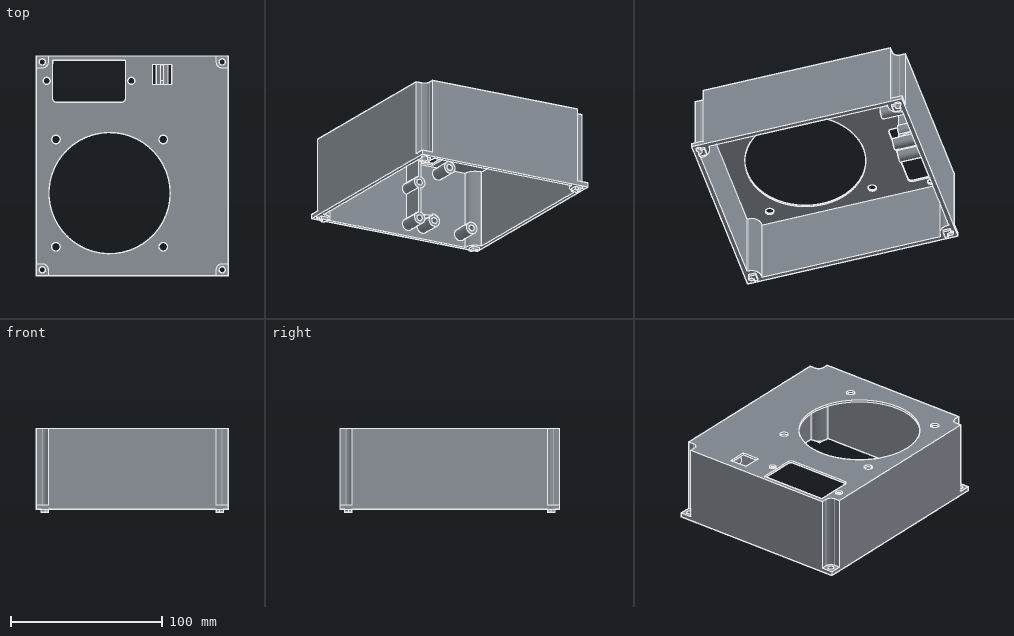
import cadquery as cq

LENGTH_X = 127.0
WIDTH_Y = 145.5
BODY_HEIGHT = 53.5
WALL = 3.0
TOP_THICKNESS = 1.5

RECESS_SIZE = 8.0
RECESS_RADIUS = RECESS_SIZE / 2
FLANGE_THICKNESS = 3.0
SCREW_INSET = RECESS_SIZE / 2
SCREW_HOLE_DIAMETER = 4.0
FOOT_HEIGHT = 2.0
FOOT_SIZE = RECESS_SIZE - WALL

FAN_X = 48.5
FAN_Y = 54.75
FAN_DIAMETER = 80.0
FAN_SCREW_SPACING = 71.0
FAN_SCREW_DIAMETER = 5.5

SOCKET_X = 34.9
SOCKET_WIDTH = 48.2
SOCKET_DEPTH = 27.5
SOCKET_CORNER_RADIUS = 2.5
SOCKET_SCREW_Y = 129.0
SOCKET_SCREW_SPACING = 56.0
SOCKET_SCREW_DIAMETER = 4.5

WINDOW_X = 83.25
WINDOW_Y = 133.25
WINDOW_WIDTH = 12.5
WINDOW_DEPTH = 13.0

REAR_INSIDE_Y = WIDTH_Y - WALL
BOSS_LENGTH = 15.75
BOSS_DIAMETER = 8.0
BOSS_HOLE_DIAMETER = 4.0
BOSS_Z = 8.0
UPPER_BOSS_Z = 33.0
PAIRED_BOSS_X = 72.0
RIBBED_BOSS_X = WINDOW_X
OUTER_BOSS_X = 111.8
TOP_BOSS_X = 95.0
TOP_BOSS_Z = 47.5

RIB_THICKNESS = 2.0
RIB_TIP_LENGTH = 2.5
RIB_TIP_HEIGHT = 0.5
RIB_ROOT_LENGTH = 3.0
RIB_ROOT_HEIGHT = 4.0

BOSS_POSITIONS = [
    (PAIRED_BOSS_X, BOSS_Z),
    (PAIRED_BOSS_X, UPPER_BOSS_Z),
    (RIBBED_BOSS_X, BOSS_Z),
    (OUTER_BOSS_X, BOSS_Z),
    (TOP_BOSS_X, TOP_BOSS_Z),
]


def block(x, y, z, size_x, size_y, size_z):
    """Box with its lowest corner at (x, y, z)."""
    return cq.Workplane("XY").box(size_x, size_y, size_z, centered=False).translate((x, y, z))


def at_corners(shape):
    """Copies of a shape made at the origin corner, mirrored to all four corners."""
    left = shape.union(shape.mirror("XZ", (0, WIDTH_Y / 2, 0)))
    return left.union(left.mirror("YZ", (LENGTH_X / 2, 0, 0)))


def corner_column(size, radius, bottom, top):
    """Square column at the origin corner with its inward edge rounded."""
    column = block(0, 0, bottom, size, size, top - bottom)
    return column.edges("|Z and >X and >Y").fillet(radius)


def shell():
    """Open-bottomed box with recessed screw corners, flanges and locating feet."""
    inner_x = LENGTH_X - 2 * WALL
    inner_y = WIDTH_Y - 2 * WALL
    body = block(0, 0, 0, LENGTH_X, WIDTH_Y, BODY_HEIGHT)
    cavity = block(WALL, WALL, 0, inner_x, inner_y, BODY_HEIGHT - TOP_THICKNESS)
    post = corner_column(RECESS_SIZE + WALL, RECESS_RADIUS + WALL, 0, BODY_HEIGHT)
    recess = corner_column(RECESS_SIZE, RECESS_RADIUS, FLANGE_THICKNESS, BODY_HEIGHT)
    foot = block(WALL, WALL, -FOOT_HEIGHT, FOOT_SIZE, FOOT_SIZE, FOOT_HEIGHT)
    screw_hole = (
        cq.Workplane("XY", origin=(SCREW_INSET, SCREW_INSET, -FOOT_HEIGHT))
        .circle(SCREW_HOLE_DIAMETER / 2)
        .extrude(FOOT_HEIGHT + FLANGE_THICKNESS)
    )
    body = body.cut(cavity).union(at_corners(post)).cut(at_corners(recess))
    return body.union(at_corners(foot)).cut(at_corners(screw_hole))


def top_plane(x, y):
    """Sketch plane on the underside of the top, centred at (x, y)."""
    return cq.Workplane("XY", origin=(x, y, BODY_HEIGHT - TOP_THICKNESS))


def fan_opening():
    """Round opening with four screw holes around it."""
    opening = top_plane(FAN_X, FAN_Y).circle(FAN_DIAMETER / 2).extrude(TOP_THICKNESS)
    screws = (
        top_plane(FAN_X, FAN_Y)
        .rect(FAN_SCREW_SPACING, FAN_SCREW_SPACING, forConstruction=True)
        .vertices()
        .circle(FAN_SCREW_DIAMETER / 2)
        .extrude(TOP_THICKNESS)
    )
    return opening.union(screws)


def socket_opening():
    """Rectangular opening, rounded at the front corners, between two screw holes."""
    centre_y = REAR_INSIDE_Y - SOCKET_DEPTH / 2
    opening = (
        top_plane(SOCKET_X, centre_y)
        .rect(SOCKET_WIDTH, SOCKET_DEPTH)
        .extrude(TOP_THICKNESS)
        .edges("|Z and <Y")
        .fillet(SOCKET_CORNER_RADIUS)
    )
    half_spacing = SOCKET_SCREW_SPACING / 2
    screws = (
        top_plane(SOCKET_X, SOCKET_SCREW_Y)
        .pushPoints([(-half_spacing, 0), (half_spacing, 0)])
        .circle(SOCKET_SCREW_DIAMETER / 2)
        .extrude(TOP_THICKNESS)
    )
    return opening.union(screws)


def switch_window():
    """Small rectangular opening above the ribbed boss."""
    return top_plane(WINDOW_X, WINDOW_Y).rect(WINDOW_WIDTH, WINDOW_DEPTH).extrude(TOP_THICKNESS)


def boss_cylinders(diameter):
    """Cylinders running forward from the rear wall at every boss position."""
    return (
        cq.Workplane("XZ", origin=(0, REAR_INSIDE_Y, 0))
        .pushPoints(BOSS_POSITIONS)
        .circle(diameter / 2)
        .extrude(BOSS_LENGTH)
    )


def upright_rib():
    """Upright web joining the paired bosses to each other and to the top."""
    left = PAIRED_BOSS_X - RIB_THICKNESS / 2
    front = REAR_INSIDE_Y - BOSS_LENGTH
    return block(left, front, BOSS_Z, RIB_THICKNESS, BOSS_LENGTH, BODY_HEIGHT - BOSS_Z)


def sloped_rib():
    """Gusset on a boss, sloping from a flat root at the rear wall to a short flat tip."""
    front = REAR_INSIDE_Y - BOSS_LENGTH
    boss_top = BOSS_Z + BOSS_DIAMETER / 2
    return (
        cq.Workplane("YZ", origin=(RIBBED_BOSS_X - RIB_THICKNESS / 2, 0, 0))
        .moveTo(REAR_INSIDE_Y, BOSS_Z)
        .lineTo(front, BOSS_Z)
        .lineTo(front, boss_top + RIB_TIP_HEIGHT)
        .lineTo(front + RIB_TIP_LENGTH, boss_top + RIB_TIP_HEIGHT)
        .lineTo(REAR_INSIDE_Y - RIB_ROOT_LENGTH, boss_top + RIB_ROOT_HEIGHT)
        .lineTo(REAR_INSIDE_Y, boss_top + RIB_ROOT_HEIGHT)
        .close()
        .extrude(RIB_THICKNESS)
    )


box = shell().cut(fan_opening()).cut(socket_opening()).cut(switch_window())
bosses = boss_cylinders(BOSS_DIAMETER).union(upright_rib()).union(sloped_rib())
result = box.union(bosses.cut(boss_cylinders(BOSS_HOLE_DIAMETER)))